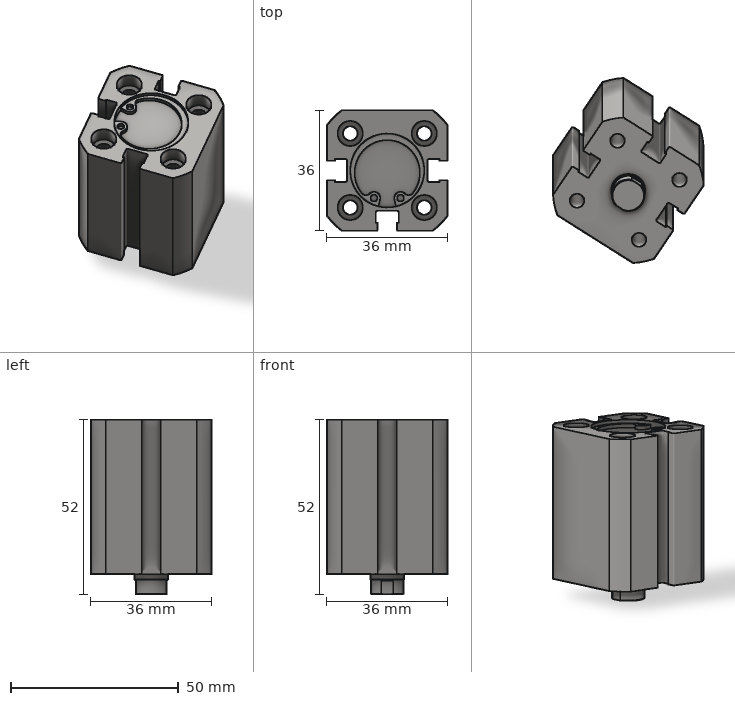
import cadquery as cq
import math

TOTAL_HEIGHT = 52.0
ROD_STICK_OUT = 6.0
HOUSING_HEIGHT = TOTAL_HEIGHT - ROD_STICK_OUT
HOUSING_WIDTH = 36.0
HALF_WIDTH = HOUSING_WIDTH / 2
CORNER_DIAMETER = 45.0

SLOT_MOUTH_WIDTH = 5.75
SLOT_INNER_WIDTH = 6.75
SLOT_LIP = 2.45
SLOT_DEPTH = 6.0
SLOT_FLOOR_RADIUS = 0.4
SLOT_MOUTH_RADIUS = 0.35
SLOT_DIRECTIONS = (180, 0, -90)

BOLT_OFFSET = 11.0
BOLT_DIAMETER = 4.25
BOLT_HEAD_DIAMETER = 7.5
BOLT_HEAD_DEPTH = 4.9

RECESS_RADIUS = 11.0
RING_SINK = 1.05
RING_THICKNESS = 1.15
CAP_THICKNESS = 4.0
RING_BOTTOM = HOUSING_HEIGHT - RING_SINK - RING_THICKNESS
CAP_BOTTOM = RING_BOTTOM - CAP_THICKNESS

RING_INNER_RADIUS = 9.7
RING_INNER_SHIFT = 0.7
LUG_X = 3.95
LUG_Y = -8.2
LUG_RADIUS = 1.85
LUG_HOLE_DIAMETER = 2.05
LUG_BLEND_RADIUS = 1.55

ROD_DIAMETER = 10.1
TIP_DIAMETER = 9.8
ROD_FULL_LENGTH = 1.5
TIP_CHAMFER = 0.2
WRENCH_FLAT_WIDTH = 9.1
FLAT_OVERCUT = 0.5


def slot_cutter(direction):
    """T-slot that opens toward +X, turned to the given direction about Z."""
    floor = HALF_WIDTH - SLOT_DEPTH
    lip = HALF_WIDTH - SLOT_LIP
    chamber = (
        cq.Workplane("XY")
        .center((floor + lip) / 2, 0)
        .rect(lip - floor, SLOT_INNER_WIDTH)
        .extrude(HOUSING_HEIGHT)
        .edges("|Z and <X")
        .fillet(SLOT_FLOOR_RADIUS)
    )
    half_mouth = SLOT_MOUTH_WIDTH / 2
    radius = SLOT_MOUTH_RADIUS
    bend = radius * (1 - math.sqrt(0.5))
    mouth = (
        cq.Workplane("XY")
        .moveTo(floor + SLOT_FLOOR_RADIUS, -half_mouth)
        .lineTo(HALF_WIDTH - radius, -half_mouth)
        .threePointArc((HALF_WIDTH - bend, -half_mouth - bend), (HALF_WIDTH, -half_mouth - radius))
        .lineTo(HALF_WIDTH, half_mouth + radius)
        .threePointArc((HALF_WIDTH - bend, half_mouth + bend), (HALF_WIDTH - radius, half_mouth))
        .lineTo(floor + SLOT_FLOOR_RADIUS, half_mouth)
        .close()
        .extrude(HOUSING_HEIGHT)
    )
    return chamber.union(mouth).rotate((0, 0, 0), (0, 0, 1), direction)


def make_housing():
    body = cq.Workplane("XY").rect(HOUSING_WIDTH, HOUSING_WIDTH).extrude(HOUSING_HEIGHT)
    body = body.intersect(cq.Workplane("XY").circle(CORNER_DIAMETER / 2).extrude(HOUSING_HEIGHT))
    for direction in SLOT_DIRECTIONS:
        body = body.cut(slot_cutter(direction))
    body = (
        body.faces(">Z")
        .workplane(origin=(0, 0, HOUSING_HEIGHT))
        .rect(2 * BOLT_OFFSET, 2 * BOLT_OFFSET, forConstruction=True)
        .vertices()
        .cboreHole(BOLT_DIAMETER, BOLT_HEAD_DIAMETER, BOLT_HEAD_DEPTH)
    )
    recess = cq.Workplane("XY", origin=(0, 0, CAP_BOTTOM)).circle(RECESS_RADIUS)
    rod_hole = cq.Workplane("XY").circle(ROD_DIAMETER / 2)
    body = body.cut(recess.extrude(HOUSING_HEIGHT - CAP_BOTTOM))
    return body.cut(rod_hole.extrude(CAP_BOTTOM))


def make_cap():
    return cq.Workplane("XY", origin=(0, 0, CAP_BOTTOM)).circle(RECESS_RADIUS).extrude(CAP_THICKNESS)


def polar(center, radius, angle):
    return (center[0] + radius * math.cos(angle), center[1] + radius * math.sin(angle))


def mirrored(point):
    return (-point[0], point[1])


def make_retaining_ring():
    """Open ring with two lugs; each ring end is a radial line tangent to its lug."""
    lug = (LUG_X, LUG_Y)
    inner = (0, -RING_INNER_SHIFT)

    lug_distance = math.hypot(*lug)
    end_angle = math.atan2(LUG_Y, LUG_X) - math.asin(LUG_RADIUS / lug_distance)
    end_outer = polar((0, 0), RECESS_RADIUS, end_angle)
    end_inner = polar((0, 0), math.sqrt(lug_distance**2 - LUG_RADIUS**2), end_angle)

    to_lug_x = lug[0] - inner[0]
    to_lug_y = lug[1] - inner[1]
    span = math.hypot(to_lug_x, to_lug_y)
    inner_reach = RING_INNER_RADIUS - LUG_BLEND_RADIUS
    lug_reach = LUG_RADIUS + LUG_BLEND_RADIUS
    turn = math.acos((inner_reach**2 + span**2 - lug_reach**2) / (2 * inner_reach * span))
    blend_angle = math.atan2(to_lug_y, to_lug_x) + turn
    blend = polar(inner, inner_reach, blend_angle)
    blend_to_lug = math.atan2(lug[1] - blend[1], lug[0] - blend[0])

    lug_top = polar(lug, LUG_RADIUS, math.pi / 2)
    blend_start = polar(blend, LUG_BLEND_RADIUS, blend_to_lug)
    blend_middle_angle = (blend_to_lug % math.tau + blend_angle % math.tau) / 2
    blend_middle = polar(blend, LUG_BLEND_RADIUS, blend_middle_angle)
    blend_end = polar(inner, RING_INNER_RADIUS, blend_angle)

    ring = (
        cq.Workplane("XY", origin=(0, 0, RING_BOTTOM))
        .moveTo(*end_outer)
        .lineTo(*end_inner)
        .threePointArc(lug_top, blend_start)
        .threePointArc(blend_middle, blend_end)
        .threePointArc((0, RING_INNER_RADIUS - RING_INNER_SHIFT), mirrored(blend_end))
        .threePointArc(mirrored(blend_middle), mirrored(blend_start))
        .threePointArc(mirrored(lug_top), mirrored(end_inner))
        .lineTo(*mirrored(end_outer))
        .threePointArc((0, RECESS_RADIUS), end_outer)
        .close()
        .extrude(RING_THICKNESS)
    )
    lug_holes = (
        cq.Workplane("XY", origin=(0, 0, RING_BOTTOM))
        .pushPoints([lug, mirrored(lug)])
        .circle(LUG_HOLE_DIAMETER / 2)
        .extrude(RING_THICKNESS)
    )
    return ring.cut(lug_holes)


def make_rod():
    rod_radius = ROD_DIAMETER / 2
    tip_radius = TIP_DIAMETER / 2
    flat = WRENCH_FLAT_WIDTH / 2
    profile = [
        (0, CAP_BOTTOM),
        (rod_radius, CAP_BOTTOM),
        (rod_radius, -ROD_FULL_LENGTH),
        (tip_radius, -ROD_FULL_LENGTH - (rod_radius - tip_radius)),
        (tip_radius, -ROD_STICK_OUT + TIP_CHAMFER),
        (tip_radius - TIP_CHAMFER, -ROD_STICK_OUT),
        (0, -ROD_STICK_OUT),
    ]
    rod = cq.Workplane("XZ").polyline(profile).close().revolve(360, (0, 0), (0, 1))

    outside = rod_radius + FLAT_OVERCUT
    flat_section = [
        (flat, -ROD_STICK_OUT),
        (flat, -ROD_FULL_LENGTH - (rod_radius - flat)),
        (outside, -ROD_FULL_LENGTH + FLAT_OVERCUT),
        (outside, -ROD_STICK_OUT),
    ]
    flat_cutter = cq.Workplane("YZ").polyline(flat_section).close().extrude(rod_radius, both=True)
    return rod.cut(flat_cutter).cut(flat_cutter.mirror("XZ"))


housing = make_housing()
cap = make_cap()
retaining_ring = make_retaining_ring()
piston_rod = make_rod()

result = cq.Compound.makeCompound(
    [housing.val(), cap.val(), retaining_ring.val(), piston_rod.val()]
)